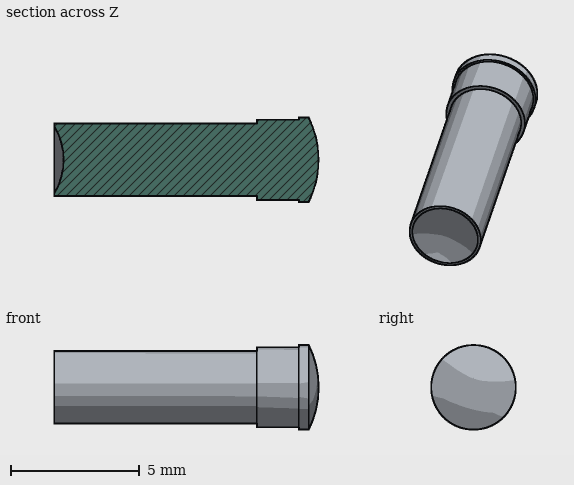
import cadquery as cq
import math

total_length = 10.29
shank_radius = 2.83 / 2
collar_radius = 3.13 / 2
flange_radius = 3.3 / 2

collar_start = 7.88
flange_start = 9.52
dome_start = 9.9

dish_radius = 2.6 / 2
dish_depth = 0.36


def cap_midpoint(apex_x, rim_x, rim_radius):
    """Point halfway along the circular arc from a cap's apex on the axis to its rim."""
    height = abs(apex_x - rim_x)
    sphere_radius = (rim_radius**2 + height**2) / (2 * height)
    half_angle = math.atan2(height, rim_radius)
    toward_rim = math.copysign(1, rim_x - apex_x)
    mid_x = apex_x + toward_rim * sphere_radius * (1 - math.cos(half_angle))
    return mid_x, sphere_radius * math.sin(half_angle)


half_section = (
    cq.Workplane("XZ")
    .moveTo(dish_depth, 0)
    .threePointArc(cap_midpoint(dish_depth, 0, dish_radius), (0, dish_radius))
    .lineTo(0, shank_radius)
    .lineTo(collar_start, shank_radius)
    .lineTo(collar_start, collar_radius)
    .lineTo(flange_start, collar_radius)
    .lineTo(flange_start, flange_radius)
    .lineTo(dome_start, flange_radius)
    .threePointArc(cap_midpoint(total_length, dome_start, flange_radius), (total_length, 0))
    .close()
)

result = half_section.revolve(360, (0, 0, 0), (1, 0, 0))